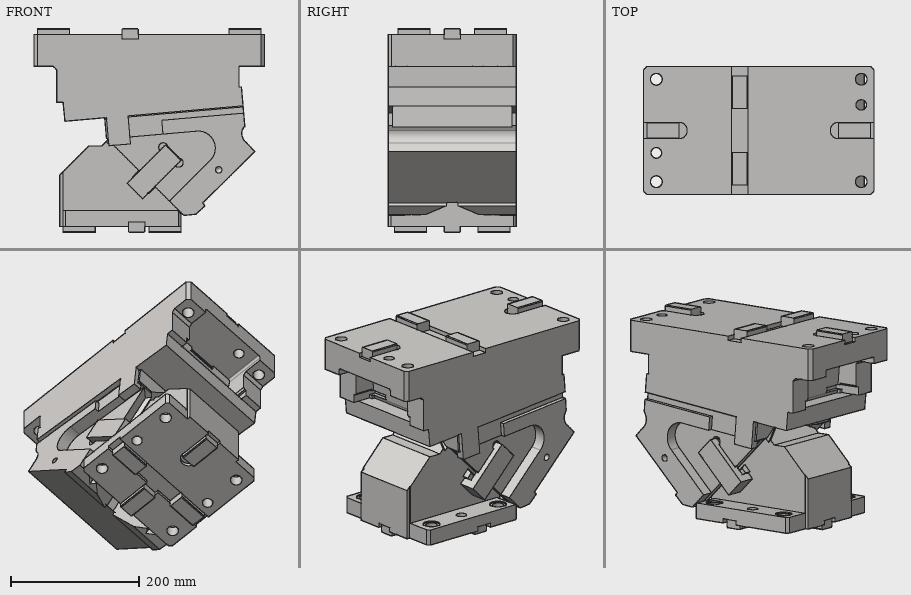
import cadquery as cq
import math


LENGTH = 360.0
HALF_WIDTH = 100.0
TOP_Z = 300.0
BEYOND = 288.0

PLATE_THICKNESS = 50.0
PLATE_CHAMFER = 5.5
HOLDER_LEFT = -144.7
HOLDER_RIGHT = 140.5
HOLDER_RELIEF = 5.0
STEP_Z = 193.5
STEP_X = -134.5
NOSE_LENGTH = 99.0
RIGHT_STEP_Z = 218.0
RIGHT_STEP_X = 144.0

TILT = math.radians(5)
JOINT_X = -33.0
JOINT_Z = 172.8
JOINT_RIGHT = 180.5

TAB_LENGTH = 34.0
TAB_DROP = 44.0
HOOK_INNER_Y = 86.0

SLIDE_OVERHANG = 3.0
LIP_THICKNESS = 33.0
LIP_HALF_WIDTH = 93.0
LIP_CHAMFER = 1.8
CORE_HALF_WIDTH = 80.0
CHEEK_START = 52.0
CHEEK_DROP = 11.5
POCKET_RADIUS = 26.5
POCKET_OFFSET = -8.3
SHOULDER = (148.5, 157.5)
SCALLOP_START = (145.0, 149.8)
SCALLOP_MIDDLE = (145.5, 140.0)
SCALLOP_END = (152.0, 130.5)
HEEL = (165.0, 117.0)
BACK_STEP_INNER = (83.5, 36.7)
BACK_STEP_OUTER = (87.0, 32.5)
TOE = (72.7, 19.0)
TIP_X = 54.0
TAPPED_X = 108.5
TAPPED_Z = 88.5
TAPPED_DIAMETER = 10.0
TAPPED_DEPTH = 21.5
TAPPED_POINT = 3.0

RIDGE_HALF_WIDTH = 7.0
RIDGE_HEIGHT = 86.0
EAVE_HEIGHT = 50.5
ROOF_DROP = 0.62
PAD_THICKNESS = 9.0
PAD_SETBACK = 5.8
GROOVE_INNER_Y = 58.5
GROOVE_PEAK_Y = 63.5
GROOVE_PEAK_HEIGHT = 61.0

HOOK_MIDDLE_RUN = -55.0
HOOK_WIDTH = 34.2
HOOK_BOTTOM = 23.5
HOOK_TOP = 108.0
HOOK_OUTER_Y = 90.0
HOOK_FOOT_Y = 60.5
HOOK_STEM_Y = 75.2
HOOK_NOTCH_BOTTOM = 35.3
HOOK_END_GAP = 1.0
RELIEF_DIAMETER = 14.0
RELIEF_INSET = 5.0
LUG_OUTER_Y = 68.0
LUG_OUTER_HEIGHT = 45.5
LUG_BOTTOM = 36.0
LUG_WIDTH = 36.5

BASE_HALF_WIDTH = 56.5
BASE_NOSE_HALF_WIDTH = 55.0
BASE_LEFT = -140.0
BASE_NOSE_LENGTH = 5.5
BASE_RIGHT = 49.5
BASE_SHOULDER_Z = 80.3
BASE_TOP_Z = 126.0
BASE_TOP_END = -74.0
FLANGE_THICKNESS = 25.2
FLANGE_CHAMFER = 4.5
FLANGE_GAP = 1.5

KEY_WIDTH = 25.5
KEY_LENGTH = 50.5
KEY_STAND = 9.0
KEY_DEPTH = 7.0
KEY_CHAMFER = 1.5
KEY_END_GAP = 5.5
KEYWAY_LENGTH = 68.5
HOLDER_CROSS_X = -30.0
HOLDER_CROSS_KEY_Y = 59.8
BASE_CROSS_X = -19.8
BASE_CROSS_KEY_Y = 65.0

BOLT_DIAMETER = 18.0
DOWEL_DIAMETER = 16.2
BOLT_INSET = 20.0
HOLDER_DOWELS = [(-160.0, -35.0), (160.0, 40.0)]
SPOT_DIAMETER = 26.0
SPOT_DEPTH = 1.8
BASE_BOLT_XS = (-111.2, 25.5)
BASE_DOWEL_X = -49.5

WINDOW_HALF_WIDTH = 61.5
WINDOW_TOP_Z = 260.5
WINDOW_BACK_X = -108.0
WINDOW_BRIM_Z = 246.5
WINDOW_BRIM_DEPTH = 3.0
WINDOW_KICK_Z = 198.0
WINDOW_KICK_DEPTH = 1.0
WINDOW_FILLET = 3.5
WINDOW_FOOT_HALF_WIDTH = 67.5
WINDOW_FOOT_HEIGHT = 16.2
WINDOW_SLOT_HALF_WIDTH = 24.0
WINDOW_SLOT_HEIGHT = 7.0
FOOT_POCKET_INNER_Y = 33.5
FOOT_POCKET_Z = 199.0
FOOT_POCKET_HEIGHT = 8.0
FOOT_POCKET_DEPTH = 7.2


def joint_point(along, up):
    """XZ point from distances along and square to the holder-slide joint."""
    x = JOINT_X + along * math.cos(TILT) - up * math.sin(TILT)
    z = JOINT_Z + along * math.sin(TILT) + up * math.cos(TILT)
    return (x, z)


def slope_point(run, height):
    """XZ point from a distance down the 45 degree slope and a height square to it."""
    return ((height + run) / math.sqrt(2), (height - run) / math.sqrt(2))


def across(points, half_width):
    """Prism of an XZ outline, centred on Y = 0."""
    return cq.Workplane("XZ").polyline(points).close().extrude(half_width, both=True)


def both_sides(points, inner_y, outer_y):
    """Two mirrored prisms of an XZ outline, between two distances from Y = 0."""
    return across(points, outer_y).cut(across(points, inner_y))


def block(x_range, y_range, z_range):
    """Box between the given limits."""
    sizes = [high - low for low, high in (x_range, y_range, z_range)]
    low_corner = (x_range[0], y_range[0], z_range[0])
    return cq.Workplane("XY").box(*sizes, centered=False).translate(low_corner)


def slope_block(run_range, height_range):
    """Corners of a rectangle set along the 45 degree slope."""
    (run_0, run_1), (height_0, height_1) = run_range, height_range
    return [slope_point(run_0, height_0), slope_point(run_1, height_0),
            slope_point(run_1, height_1), slope_point(run_0, height_1)]


def below_roof(half_profile):
    """Long prism below a mirrored (y, height) profile, running down the 45 degree slope."""
    direction = (1, 0, -1)
    start = slope_point(-BEYOND, 0)
    plane = cq.Plane(origin=(start[0], 0, start[1]), xDir=(0, 1, 0), normal=direction)
    outer_y = half_profile[-1][0]
    mirrored = [(-y, height) for y, height in half_profile]
    points = half_profile + [(outer_y, -BEYOND), (-outer_y, -BEYOND)] + mirrored[::-1]
    return cq.Workplane(plane).polyline(points).close().extrude(2 * BEYOND)


def roof_height(y):
    """Height of the guide roof at a distance from Y = 0, beyond the flat ridge."""
    return RIDGE_HEIGHT - (y - RIDGE_HALF_WIDTH) * ROOF_DROP


def holes(points, diameter, bottom_z, top_z):
    """Upright cylinders at the given XY points."""
    plane = cq.Workplane("XY").workplane(offset=bottom_z)
    return plane.pushPoints(points).circle(diameter / 2).extrude(top_z - bottom_z)


def side_holes(points, diameter, inner_y, outer_y):
    """Mirrored cylinders along Y at the given XZ points, between two distances from Y = 0."""
    solid = cq.Workplane("XZ").pushPoints(points).circle(diameter / 2).extrude(outer_y, both=True)
    core = cq.Workplane("XZ").pushPoints(points).circle(diameter / 2).extrude(inner_y, both=True)
    return solid.cut(core)


def key(center, face_z, outward, along_x):
    """Key standing out of a mounting face (outward is +1 for up, -1 for down)."""
    length_x, length_y = (KEY_LENGTH, KEY_WIDTH) if along_x else (KEY_WIDTH, KEY_LENGTH)
    height = KEY_DEPTH + KEY_STAND
    middle_z = face_z + outward * (KEY_STAND - KEY_DEPTH) / 2
    side = "|X" if along_x else "|Y"
    body = cq.Workplane("XY").box(length_x, length_y, height)
    outer_face = ">Z" if outward > 0 else "<Z"
    body = body.faces(outer_face).edges(side).chamfer(KEY_CHAMFER)
    return body.translate((center[0], center[1], middle_z))


def end_keyway(end_x, inward, face_z, outward):
    """Keyway along X, open at one end and round at the other."""
    straight = KEYWAY_LENGTH - KEY_WIDTH / 2
    round_x = end_x + inward * straight
    half = KEY_WIDTH / 2
    inner_z, outer_z = sorted((face_z - outward * KEY_DEPTH, face_z))
    slot = block(sorted((end_x, round_x)), (-half, half), (inner_z, outer_z))
    return slot.union(holes([(round_x, 0)], KEY_WIDTH, inner_z, outer_z))


def cross_keyway(x, face_z, outward):
    """Keyway along Y, through both sides."""
    half = KEY_WIDTH / 2
    inner_z, outer_z = sorted((face_z - outward * KEY_DEPTH, face_z))
    return block((x - half, x + half), (-HALF_WIDTH, HALF_WIDTH), (inner_z, outer_z))


def window():
    """Opening in the left end of the holder, with a leaning back wall."""
    brim_x = WINDOW_BACK_X - (WINDOW_BRIM_Z - WINDOW_KICK_Z) * math.tan(TILT)
    outside = -LENGTH / 2
    profile = [(outside, STEP_Z), (WINDOW_BACK_X + WINDOW_KICK_DEPTH, STEP_Z),
               (WINDOW_BACK_X, WINDOW_KICK_Z), (brim_x, WINDOW_BRIM_Z),
               (brim_x - WINDOW_BRIM_DEPTH, WINDOW_TOP_Z), (outside, WINDOW_TOP_Z)]
    opening = across(profile, WINDOW_HALF_WIDTH)
    opening = opening.faces(">Z").edges("|X").fillet(WINDOW_FILLET)

    foot_spread = WINDOW_FOOT_HALF_WIDTH - WINDOW_HALF_WIDTH
    foot = block((outside, brim_x), (-WINDOW_FOOT_HALF_WIDTH, WINDOW_FOOT_HALF_WIDTH),
                 (STEP_Z, STEP_Z + WINDOW_FOOT_HEIGHT))
    foot = foot.faces(">Z").edges("|X").chamfer(foot_spread)
    slot = block((outside, brim_x), (-WINDOW_SLOT_HALF_WIDTH, WINDOW_SLOT_HALF_WIDTH),
                 (WINDOW_TOP_Z - WINDOW_SLOT_HEIGHT, WINDOW_TOP_Z))
    opening = opening.union(foot).union(slot)
    for y_range in ((FOOT_POCKET_INNER_Y, WINDOW_FOOT_HALF_WIDTH),
                    (-WINDOW_FOOT_HALF_WIDTH, -FOOT_POCKET_INNER_Y)):
        pocket = block((outside, WINDOW_BACK_X + FOOT_POCKET_DEPTH), y_range,
                       (FOOT_POCKET_Z, FOOT_POCKET_Z + FOOT_POCKET_HEIGHT))
        opening = opening.union(pocket)
    return opening


def holder_tabs():
    """Side tabs that hang past the slide lip and hook below it."""
    tab = [joint_point(-TAB_LENGTH, 0), joint_point(0, 0),
           joint_point(0, -TAB_DROP), joint_point(-TAB_LENGTH, -TAB_DROP)]
    hook = [joint_point(-TAB_LENGTH, -LIP_THICKNESS), joint_point(0, -LIP_THICKNESS),
            joint_point(0, -TAB_DROP), joint_point(-TAB_LENGTH, -TAB_DROP)]
    return both_sides(tab, LIP_HALF_WIDTH, HALF_WIDTH).union(both_sides(hook, HOOK_INNER_Y, HALF_WIDTH))


def build_holder():
    plate_z = TOP_Z - PLATE_THICKNESS
    plate = cq.Workplane("XY").box(LENGTH, 2 * HALF_WIDTH, PLATE_THICKNESS, centered=(True, True, False))
    plate = plate.edges("|Z").chamfer(PLATE_CHAMFER).translate((0, 0, plate_z))
    body = [(HOLDER_LEFT - HOLDER_RELIEF, plate_z), (HOLDER_LEFT, plate_z - HOLDER_RELIEF),
            (HOLDER_LEFT, STEP_Z), (STEP_X, STEP_Z), joint_point(-NOSE_LENGTH, 0),
            joint_point(JOINT_RIGHT, 0), (RIGHT_STEP_X, RIGHT_STEP_Z),
            (HOLDER_RIGHT, RIGHT_STEP_Z), (HOLDER_RIGHT, plate_z)]
    holder = plate.union(across(body, HALF_WIDTH)).union(holder_tabs()).cut(window())

    bolt_x = LENGTH / 2 - BOLT_INSET
    bolt_y = HALF_WIDTH - BOLT_INSET
    bolts = [(x, y) for x in (-bolt_x, bolt_x) for y in (-bolt_y, bolt_y)]
    holder = holder.cut(holes(bolts, BOLT_DIAMETER, plate_z, TOP_Z))
    holder = holder.cut(holes(HOLDER_DOWELS, DOWEL_DIAMETER, plate_z, TOP_Z))

    key_x = LENGTH / 2 - KEY_END_GAP - KEY_LENGTH / 2
    holder = holder.cut(cross_keyway(HOLDER_CROSS_X, TOP_Z, 1))
    for side in (-1, 1):
        holder = holder.cut(end_keyway(side * LENGTH / 2, -side, TOP_Z, 1))
        holder = holder.union(key((side * key_x, 0), TOP_Z, 1, True))
        holder = holder.union(key((HOLDER_CROSS_X, side * HOLDER_CROSS_KEY_Y), TOP_Z, 1, False))
    return holder


def slide_outline(half_width):
    """Full side outline of the slide as a prism."""
    left = -TAB_LENGTH - SLIDE_OVERHANG
    eave_sum = EAVE_HEIGHT * math.sqrt(2)
    lip_x, lip_z = joint_point(0, -LIP_THICKNESS)
    lip_end_x = (eave_sum - lip_z + lip_x * math.tan(TILT)) / (1 + math.tan(TILT))
    outline = (
        cq.Workplane("XZ")
        .moveTo(*joint_point(left, 0))
        .lineTo(*joint_point(JOINT_RIGHT, 0))
        .lineTo(*SHOULDER)
        .lineTo(*SCALLOP_START)
        .threePointArc(SCALLOP_MIDDLE, SCALLOP_END)
        .lineTo(*HEEL)
        .lineTo(*BACK_STEP_INNER)
        .lineTo(*BACK_STEP_OUTER)
        .lineTo(*TOE)
        .lineTo(TIP_X, eave_sum - TIP_X)
        .lineTo(lip_end_x, eave_sum - lip_end_x)
        .lineTo(*joint_point(left, -LIP_THICKNESS))
        .close()
    )
    return outline.extrude(half_width, both=True)


def slide_lip():
    """Upper lip held by the holder tabs."""
    left = -TAB_LENGTH - SLIDE_OVERHANG
    points = [joint_point(left, 0), joint_point(JOINT_RIGHT, 0),
              joint_point(JOINT_RIGHT, -LIP_THICKNESS), joint_point(left, -LIP_THICKNESS)]
    lip = across(points, LIP_HALF_WIDTH)
    return lip.faces(">Z").edges(">Y or <Y").chamfer(LIP_CHAMFER)


def slide_cheeks():
    """Full-width cheeks around the side pockets."""
    zone = [joint_point(CHEEK_START, -CHEEK_DROP), joint_point(BEYOND, -CHEEK_DROP),
            joint_point(BEYOND, -BEYOND), joint_point(CHEEK_START, -BEYOND)]
    cheeks = slide_outline(HALF_WIDTH).intersect(across(zone, HALF_WIDTH))

    wall_x, wall_z = joint_point(0, -LIP_THICKNESS)
    corner_x = (wall_z - wall_x * math.tan(TILT) + POCKET_OFFSET) / (1 - math.tan(TILT))
    corner = (corner_x, corner_x - POCKET_OFFSET)
    lower = (corner_x - BEYOND, corner[1] - BEYOND)
    pocket = across([corner, lower, joint_point(-BEYOND, -LIP_THICKNESS)], HALF_WIDTH)
    pocket = pocket.edges("|Y").edges(">X").fillet(POCKET_RADIUS)
    return cheeks.cut(pocket)


def slide_hooks():
    """Plates on both flanks with a foot that reaches below the base lugs."""
    runs = (HOOK_MIDDLE_RUN - HOOK_WIDTH / 2, HOOK_MIDDLE_RUN + HOOK_WIDTH / 2)
    stem = slope_block(runs, (HOOK_BOTTOM, HOOK_TOP))
    foot = slope_block(runs, (HOOK_BOTTOM, HOOK_NOTCH_BOTTOM))
    return both_sides(stem, HOOK_STEM_Y, HOOK_OUTER_Y).union(both_sides(foot, HOOK_FOOT_Y, HOOK_OUTER_Y))


def hook_reliefs():
    """Round corner reliefs and end gap at the top of each hook seat."""
    half = HOOK_WIDTH / 2
    centers = [slope_point(HOOK_MIDDLE_RUN + side * half, HOOK_TOP - RELIEF_INSET) for side in (-1, 1)]
    rounds = side_holes(centers, RELIEF_DIAMETER, HOOK_FOOT_Y, CORE_HALF_WIDTH)
    runs = (HOOK_MIDDLE_RUN - half, HOOK_MIDDLE_RUN + half)
    end_gap = slope_block(runs, (HOOK_TOP, HOOK_TOP + HOOK_END_GAP))
    return rounds.union(both_sides(end_gap, HOOK_FOOT_Y, CORE_HALF_WIDTH))


def tapped_holes():
    """Blind hole with a conical end in each cheek."""
    radius = TAPPED_DIAMETER / 2
    bottom_y = HALF_WIDTH - TAPPED_DEPTH
    drilled = side_holes([(TAPPED_X, TAPPED_Z)], TAPPED_DIAMETER, bottom_y, HALF_WIDTH)
    for side in (-1, 1):
        start = cq.Vector(TAPPED_X, side * bottom_y, TAPPED_Z)
        cone = cq.Solid.makeCone(radius, 0, TAPPED_POINT, start, cq.Vector(0, -side, 0))
        drilled = drilled.union(cq.Workplane(cone))
    return drilled


def build_slide():
    ridge = (RIDGE_HALF_WIDTH, RIDGE_HEIGHT)
    eave_y = RIDGE_HALF_WIDTH + (RIDGE_HEIGHT - EAVE_HEIGHT) / ROOF_DROP
    core_underside = [ridge, (GROOVE_INNER_Y, roof_height(GROOVE_INNER_Y)),
                      (GROOVE_PEAK_Y, GROOVE_PEAK_HEIGHT), (CORE_HALF_WIDTH, EAVE_HEIGHT)]
    core = slide_outline(CORE_HALF_WIDTH).cut(below_roof(core_underside))
    lip = slide_lip().cut(below_roof([ridge, (eave_y, EAVE_HEIGHT), (LIP_HALF_WIDTH, EAVE_HEIGHT)]))
    cheeks = slide_cheeks().cut(slide_outline(CORE_HALF_WIDTH))
    slide = core.union(lip).union(cheeks)
    return slide.cut(hook_reliefs()).cut(tapped_holes()).union(slide_hooks())


def base_body():
    """Wedge with the roof-shaped guide on its sloped side."""
    end_run = (BASE_TOP_END - BASE_TOP_Z) / math.sqrt(2)
    right_run = BASE_RIGHT * math.sqrt(2) - RIDGE_HEIGHT
    body_left = BASE_LEFT + BASE_NOSE_LENGTH
    shoulder_run = BASE_TOP_Z - BASE_SHOULDER_Z
    profile = [(BASE_LEFT, 0), (BASE_RIGHT, 0), slope_point(right_run, RIDGE_HEIGHT),
               slope_point(end_run, RIDGE_HEIGHT), (BASE_TOP_END, BASE_TOP_Z),
               (BASE_LEFT + shoulder_run, BASE_TOP_Z), (BASE_LEFT, BASE_SHOULDER_Z)]
    body = across(profile, BASE_HALF_WIDTH)
    roof = [(RIDGE_HALF_WIDTH, RIDGE_HEIGHT), (BASE_HALF_WIDTH, roof_height(BASE_HALF_WIDTH))]
    bare_roof = [(y, height - PAD_THICKNESS) for y, height in roof]
    pad_runs = (end_run + PAD_SETBACK, right_run + BEYOND)
    pads = body.intersect(below_roof(roof)).intersect(
        across(slope_block(pad_runs, (0, RIDGE_HEIGHT)), BASE_HALF_WIDTH))
    body = body.intersect(below_roof(bare_roof)).union(pads)
    nose = [(BASE_LEFT, 0), (body_left, 0), (body_left, BASE_TOP_Z), (BASE_LEFT, BASE_TOP_Z)]
    return body.cut(both_sides(nose, BASE_NOSE_HALF_WIDTH, BASE_HALF_WIDTH))


def base_flange():
    """Foot flange whose right edge is bevelled to clear the slide."""
    left = BASE_LEFT + BASE_NOSE_LENGTH
    flange = block((left, BASE_RIGHT), (-HALF_WIDTH, HALF_WIDTH), (0, FLANGE_THICKNESS))
    flange = flange.edges("|Z").chamfer(FLANGE_CHAMFER)
    bevel_height = EAVE_HEIGHT - FLANGE_GAP
    clearance = [(0, bevel_height), (HALF_WIDTH, bevel_height)]
    return flange.intersect(below_roof(clearance))


def base_lugs():
    """Lugs on both flanks, caught by the slide hooks."""
    half = LUG_WIDTH / 2
    runs = (HOOK_MIDDLE_RUN - half, HOOK_MIDDLE_RUN + half)
    lugs = both_sides(slope_block(runs, (LUG_BOTTOM, EAVE_HEIGHT)), BASE_HALF_WIDTH, LUG_OUTER_Y)
    return lugs.intersect(below_roof([(BASE_HALF_WIDTH, EAVE_HEIGHT), (LUG_OUTER_Y, LUG_OUTER_HEIGHT)]))


def build_base():
    base = base_body().union(base_flange()).union(base_lugs())
    hole_y = HALF_WIDTH - BOLT_INSET
    bolts = [(x, y) for x in BASE_BOLT_XS for y in (-hole_y, hole_y)]
    dowels = [(BASE_DOWEL_X, y) for y in (-hole_y, hole_y)]
    base = base.cut(holes(bolts, BOLT_DIAMETER, 0, FLANGE_THICKNESS))
    base = base.cut(holes(bolts, SPOT_DIAMETER, FLANGE_THICKNESS - SPOT_DEPTH, FLANGE_THICKNESS))
    base = base.cut(holes(dowels, DOWEL_DIAMETER, 0, FLANGE_THICKNESS))

    left_key_x = BASE_LEFT + BASE_NOSE_LENGTH + KEY_LENGTH / 2
    right_key_x = BASE_RIGHT - KEY_LENGTH / 2
    base = base.cut(cross_keyway(BASE_CROSS_X, 0, -1))
    for end_x, inward, key_x in ((BASE_LEFT, 1, left_key_x), (BASE_RIGHT, -1, right_key_x)):
        base = base.cut(end_keyway(end_x, inward, 0, -1))
        base = base.union(key((key_x, 0), 0, -1, True))
    for side in (-1, 1):
        base = base.union(key((BASE_CROSS_X, side * BASE_CROSS_KEY_Y), 0, -1, False))
    return base


holder = build_holder()
slide = build_slide()
base = build_base()

result = cq.Compound.makeCompound([body.solids().val() for body in (holder, slide, base)])